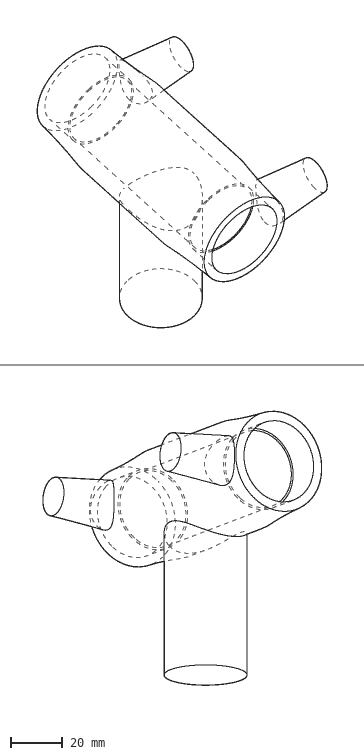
import cadquery as cq
import math

barrel_length = 104.0
barrel_diameter = 44.0
barrel_end_diameter = 39.5
taper_length = barrel_length / 4
taper_sag = 0.3

bore_diameter = 30.4
socket_diameter = 32.0
socket_depth = 14.6

post_diameter = socket_diameter
overall_height = 96.0
post_reach = overall_height - barrel_diameter / 2

peg_tip_diameter = 15.1
overall_depth = 65.0
peg_reach = overall_depth - barrel_diameter / 2
peg_draft = 5.0
peg_end_distance = 10.4


def make_barrel():
    """Revolve the barrel outline, with hollow-curved tapers at both ends."""
    half_length = barrel_length / 2
    shoulder_x = half_length - taper_length
    body_radius = barrel_diameter / 2
    end_radius = barrel_end_diameter / 2
    mid_taper_x = half_length - taper_length / 2
    mid_taper_radius = (body_radius + end_radius) / 2 - taper_sag
    return (
        cq.Workplane("XY")
        .moveTo(-half_length, 0)
        .lineTo(-half_length, end_radius)
        .threePointArc((-mid_taper_x, mid_taper_radius), (-shoulder_x, body_radius))
        .lineTo(shoulder_x, body_radius)
        .threePointArc((mid_taper_x, mid_taper_radius), (half_length, end_radius))
        .lineTo(half_length, 0)
        .close()
        .revolve(360, (0, 0, 0), (1, 0, 0))
    )


def make_post():
    return cq.Workplane("XY").circle(post_diameter / 2).extrude(-post_reach)


def make_peg(x):
    """Cone from the bore wall to the tip; the bore trims its root."""
    root_y = bore_diameter / 2
    length = peg_reach - root_y
    tip_radius = peg_tip_diameter / 2
    root_radius = tip_radius + length * math.tan(math.radians(peg_draft))
    root = cq.Vector(x, root_y, 0)
    cone = cq.Solid.makeCone(root_radius, tip_radius, length, root, cq.Vector(0, 1, 0))
    return cq.Workplane(cone)


def make_bore():
    bore = cq.Workplane("YZ").circle(bore_diameter / 2).extrude(barrel_length / 2, both=True)
    for side in (-1, 1):
        socket = (
            cq.Workplane("YZ", origin=(side * barrel_length / 2, 0, 0))
            .circle(socket_diameter / 2)
            .extrude(-side * socket_depth)
        )
        bore = bore.union(socket)
    return bore


result = make_barrel().union(make_post())
for side in (-1, 1):
    result = result.union(make_peg(side * (barrel_length / 2 - peg_end_distance)))
result = result.cut(make_bore())